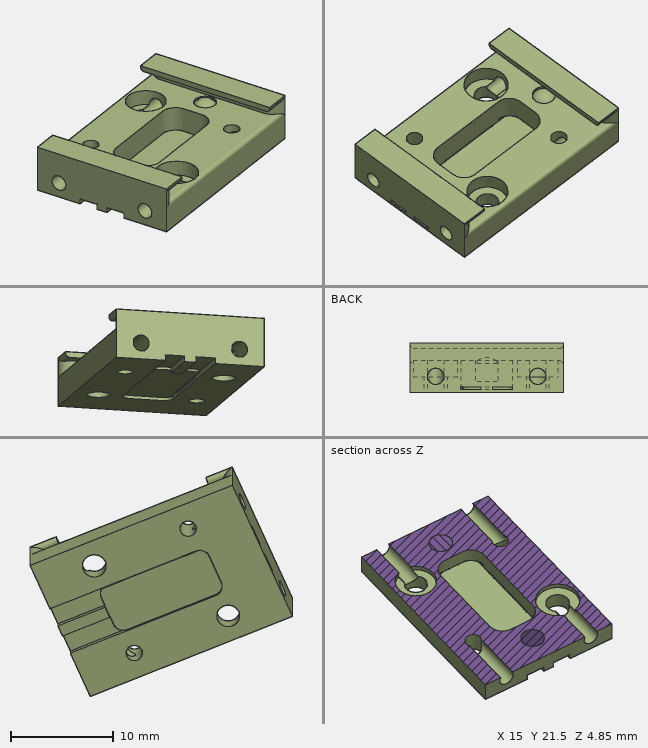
import cadquery as cq
import math

length = 21.5
width = 15.0
height = 4.85

wall = 1.53
lip_reach = 2.8
lip_thickness = 0.55
deck_height = 3.12
edge_round = 0.4
wall_end_round = wall

hole_offset = 4.99
pin_hole_radius = 0.8
cross_hole_height = 1.6
counterbore_floor = 1.55
screw_holes = [(-1, 1.12, 2.0), (1, 1.16, 2.15)]

pocket_width = 5.07
pocket_length = 11.45
pocket_round = 1.5
recess_round = 1.0
plate_bottom = 0.3
plate_top = 0.55
plate_gap = 0.17
tab_length = 6.58
tab_thickness = 0.06

slot_inner = 0.58
slot_outer = pocket_width / 2

detent_radius = 1.12
dome_radius = 1.38
dome_rise = 0.32
detent_bottom = 1.08
detent_y = length / 2 - lip_reach


def box(x_range, y_range, z_range):
    """Axis-aligned block given by its (low, high) limits."""
    (x0, x1), (y0, y1), (z0, z1) = x_range, y_range, z_range
    return cq.Workplane("XY").box(x1 - x0, y1 - y0, z1 - z0, centered=False).translate((x0, y0, z0))


def vertical_cylinder(x, y, radius, bottom, top):
    return cq.Workplane("XY", origin=(x, y, bottom)).circle(radius).extrude(top - bottom)


def flared_profile(plane, half_opening, radius):
    """Opening of constant height that flares at both X ends by convex quarter rounds."""
    end = width / 2
    flared = half_opening + radius
    diagonal = radius * math.sqrt(0.5)
    round_x = end - radius + diagonal
    round_y = flared - diagonal
    return (
        cq.Workplane(plane)
        .moveTo(-end, -flared)
        .threePointArc((-round_x, -round_y), (radius - end, -half_opening))
        .lineTo(end - radius, -half_opening)
        .threePointArc((round_x, -round_y), (end, -flared))
        .lineTo(end, flared)
        .threePointArc((round_x, round_y), (end - radius, half_opening))
        .lineTo(radius - end, half_opening)
        .threePointArc((-round_x, round_y), (-end, flared))
        .close()
    )


def channel_cutter():
    """Rounded-edge channel under the lips, plus the gap between the lips."""
    lip_bottom = height - lip_thickness
    half_opening = (lip_bottom - deck_height) / 2
    middle = (lip_bottom + deck_height) / 2
    side_view = flared_profile("XZ", half_opening, edge_round).extrude(length / 2, both=True)
    side_view = side_view.translate((0, 0, middle))
    plan_view = flared_profile("XY", length / 2 - wall, wall_end_round).extrude(height)
    lip_gap = box((-width / 2, width / 2), (-detent_y, detent_y), (middle, height))
    return side_view.intersect(plan_view).union(lip_gap)


def pocket_prism(corner_radius, bottom, top):
    prism = cq.Workplane("XY", origin=(0, 0, bottom)).rect(pocket_width, pocket_length).extrude(top - bottom)
    return prism.edges("|Z").fillet(corner_radius)


def cut_holes(body):
    for side, bore_radius, counterbore_radius in screw_holes:
        x = side * hole_offset
        y = -x
        body = body.cut(vertical_cylinder(x, y, bore_radius, 0, height))
        body = body.cut(vertical_cylinder(x, y, counterbore_radius, counterbore_floor, deck_height))
        body = body.cut(vertical_cylinder(x, -y, pin_hole_radius, 0, deck_height))
        for end in (-1, 1):
            cross_hole = (
                cq.Workplane("XZ", origin=(x, end * hole_offset, cross_hole_height))
                .circle(pin_hole_radius)
                .extrude(-end * (length / 2 - hole_offset))
            )
            body = body.cut(cross_hole)
    return body


def cut_cable_slots(body):
    """Open notches at the -Y end, closed windows level with the plate at the +Y end."""
    pocket_inside = pocket_length / 2 - recess_round
    for x_range in ((-slot_outer, -slot_inner), (slot_inner, slot_outer)):
        body = body.cut(box(x_range, (-length / 2, -pocket_inside), (0, plate_top)))
        body = body.cut(box(x_range, (pocket_inside, length / 2), (plate_bottom, plate_top)))
    return body


def plate_edge_gap(y_length, bottom, top):
    """Strip between the plate and the +X pocket wall."""
    return box(
        (pocket_width / 2 - plate_gap, pocket_width / 2), (-y_length / 2, y_length / 2), (bottom, top)
    )


def make_housing():
    body = box((-width / 2, width / 2), (-length / 2, length / 2), (0, height))
    body = body.cut(channel_cutter())
    body = cut_holes(body)
    body = body.cut(pocket_prism(pocket_round, plate_top, deck_height))
    body = body.cut(pocket_prism(recess_round, 0, plate_top))
    body = cut_cable_slots(body)
    for side in (-1, 1):
        body = body.cut(vertical_cylinder(0, side * detent_y, detent_radius, detent_bottom, deck_height))
    return body


def make_plate():
    plate = pocket_prism(recess_round, plate_bottom, plate_top)
    plate = plate.cut(plate_edge_gap(pocket_length, plate_bottom, plate_top))
    locating_tab = plate_edge_gap(tab_length, plate_bottom, plate_bottom + tab_thickness)
    return plate.union(locating_tab)


def make_detent_pin(side):
    """Straight shank with a spherical cap, revolved about its own axis."""
    dome_top = deck_height + dome_rise
    dome_centre = dome_top - dome_radius
    shank_top = dome_centre + math.sqrt(dome_radius**2 - detent_radius**2)
    diagonal = dome_radius * math.sqrt(0.5)
    pin = (
        cq.Workplane("XZ")
        .moveTo(0, detent_bottom)
        .lineTo(detent_radius, detent_bottom)
        .lineTo(detent_radius, shank_top)
        .threePointArc((diagonal, dome_centre + diagonal), (0, dome_top))
        .close()
        .revolve(360, (0, 0, 0), (0, 1, 0))
    )
    return pin.translate((0, side * detent_y, 0))


housing = make_housing()
cover_plate = make_plate()
detent_pins = [make_detent_pin(side) for side in (-1, 1)]

bodies = [housing, cover_plate, *detent_pins]
result = cq.Compound.makeCompound([body.solids().val() for body in bodies])